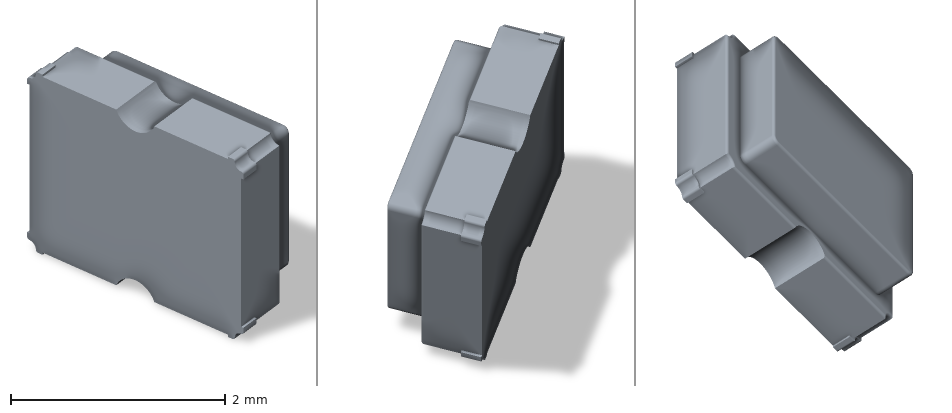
import cadquery as cq
import math

total_length = 2.55
pad_overhang = 0.025
base_length = total_length - 2 * pad_overhang
base_width = 2.0
base_depth = 0.6

lid_length = 2.1
lid_width = 1.6
lid_depth = 0.4
lid_corner_radius = 0.075
edge_fillet = 0.025

corner_notch_radius = 0.102
side_notch_length = 0.45
side_notch_depth = 0.153

pad_reach = 0.155
pad_depth = 0.2

front_y = -(base_depth + lid_depth) / 2
step_y = front_y + base_depth


def slab(length, width, depth, start_y):
    """Rectangular block centred in X and Z, growing toward +Y."""
    block = cq.Workplane("XY").box(length, depth, width)
    return block.translate((0, start_y + depth / 2, 0))


def cylinder(x, z, radius, depth):
    """Cylinder along Y, growing from the mounting face."""
    centre = cq.Vector(x, front_y, z)
    return cq.Workplane(obj=cq.Solid.makeCylinder(radius, depth, centre, cq.Vector(0, 1, 0)))


def make_base():
    """Block with quarter-round corner notches and a scooped notch in each long side."""
    base = slab(base_length, base_width, base_depth, front_y)
    for x_sign in (-1, 1):
        for z_sign in (-1, 1):
            notch = cylinder(
                x_sign * base_length / 2, z_sign * base_width / 2, corner_notch_radius, base_depth
            )
            base = base.cut(notch)
    base = base.faces(">Y").edges().fillet(edge_fillet)

    half_chord = side_notch_length / 2
    scoop_radius = (half_chord**2 + side_notch_depth**2) / (2 * side_notch_depth)
    scoop_z = base_width / 2 - side_notch_depth + scoop_radius
    for z_sign in (-1, 1):
        base = base.cut(cylinder(0, z_sign * scoop_z, scoop_radius, base_depth))
    return base


def make_lid():
    """Raised block on the back of the base, rounded on its corners and rim."""
    lid = slab(lid_length, lid_width, lid_depth, step_y)
    return lid.edges("|Y").fillet(lid_corner_radius).faces(">Y").edges().fillet(edge_fillet)


def make_corner_pad():
    """Pad of constant thickness wrapping the base corner at +X +Z."""
    corner_x = base_length / 2
    corner_z = base_width / 2
    inner_x = corner_x - pad_reach
    inner_z = corner_z - pad_reach
    notch_x = corner_x - corner_notch_radius
    notch_z = corner_z - corner_notch_radius
    outer_x = corner_x + pad_overhang
    outer_z = corner_z + pad_overhang

    diagonal = math.sqrt(0.5)
    bend = pad_overhang * diagonal
    pad_notch_radius = corner_notch_radius - pad_overhang
    pad_notch_x = corner_x - pad_notch_radius
    pad_notch_z = corner_z - pad_notch_radius
    pad_notch_bend = pad_notch_radius * diagonal

    return (
        cq.Workplane("XZ", origin=(0, front_y, 0))
        .moveTo(inner_x, inner_z)
        .lineTo(inner_x, outer_z)
        .lineTo(notch_x, outer_z)
        .threePointArc((notch_x + bend, corner_z + bend), (pad_notch_x, corner_z))
        .threePointArc(
            (corner_x - pad_notch_bend, corner_z - pad_notch_bend), (corner_x, pad_notch_z)
        )
        .threePointArc((corner_x + bend, notch_z + bend), (outer_x, notch_z))
        .lineTo(outer_x, inner_z)
        .close()
        .extrude(-pad_depth)
    )


def make_all_pads():
    """One pad on each corner, mirrored in X and Z."""
    pad = make_corner_pad()
    pair = pad.union(pad.mirror("YZ"))
    return pair.union(pair.mirror("XY"))


result = make_base().union(make_lid()).union(make_all_pads())